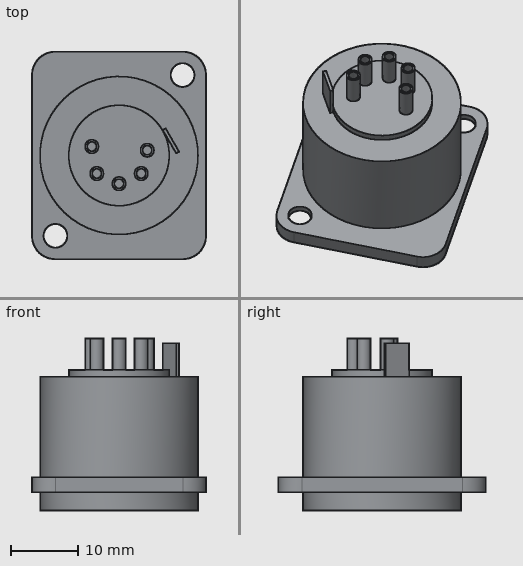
import cadquery as cq

flange_width = 26.0
flange_length = 31.0
flange_bottom = 2.7
flange_top = 5.0
corner_radius = 3.5
screw_hole_diameter = 3.5
countersink_depth = 1.33
screw_x = 9.5
screw_y = 12.0

barrel_diameter = 23.6
barrel_top = 20.0
insert_diameter = 15.0
insert_top = 21.0

pin_top = 25.7
pin_diameter = 2.0
pin_bore_diameter = 1.4
pin_positions = [(-4.05, 1.33), (4.22, 0.78), (-3.32, -2.7), (3.32, -2.7), (0, -4.22)]

tab_top = 25.0
tab_length = 4.03
tab_thickness = 0.5
tab_center = (7.75, 2.17)
tab_angle = -60


def cylinder(diameter, bottom, top, position=(0, 0)):
    """Vertical cylinder between two heights."""
    return cq.Workplane("XY", origin=(*position, bottom)).circle(diameter / 2).extrude(top - bottom)


def make_screw_cutter(position):
    """Through hole with a 45-degree countersink opening on the underside."""
    hole = cylinder(screw_hole_diameter, flange_bottom, flange_top, position)
    hole_radius = screw_hole_diameter / 2
    cone = cq.Solid.makeCone(
        hole_radius + countersink_depth,
        hole_radius,
        countersink_depth,
        pnt=cq.Vector(*position, flange_bottom),
    )
    return hole.union(cq.Workplane(obj=cone))


def make_flange():
    """Rounded plate with two diagonally opposite countersunk screw holes."""
    plate = (
        cq.Workplane("XY", origin=(0, 0, flange_bottom))
        .rect(flange_width, flange_length)
        .extrude(flange_top - flange_bottom)
        .edges("|Z")
        .fillet(corner_radius)
    )
    for side in (-1, 1):
        position = (side * screw_x, side * screw_y)
        plate = plate.cut(make_screw_cutter(position))
    return plate


def make_pin(position):
    """Solder pin whose bore stops at the insert's top face."""
    pin = cylinder(pin_diameter, insert_top, pin_top, position)
    return pin.cut(cylinder(pin_bore_diameter, insert_top, pin_top, position))


def make_tab():
    """Thin vertical plate turned about its own centre."""
    return (
        cq.Workplane("XY", origin=(*tab_center, barrel_top))
        .transformed(rotate=(0, 0, tab_angle))
        .rect(tab_length, tab_thickness)
        .extrude(tab_top - barrel_top)
    )


result = make_flange()
result = result.union(cylinder(barrel_diameter, 0, barrel_top))
result = result.union(cylinder(insert_diameter, barrel_top, insert_top))
for pin_position in pin_positions:
    result = result.union(make_pin(pin_position))
result = result.union(make_tab())